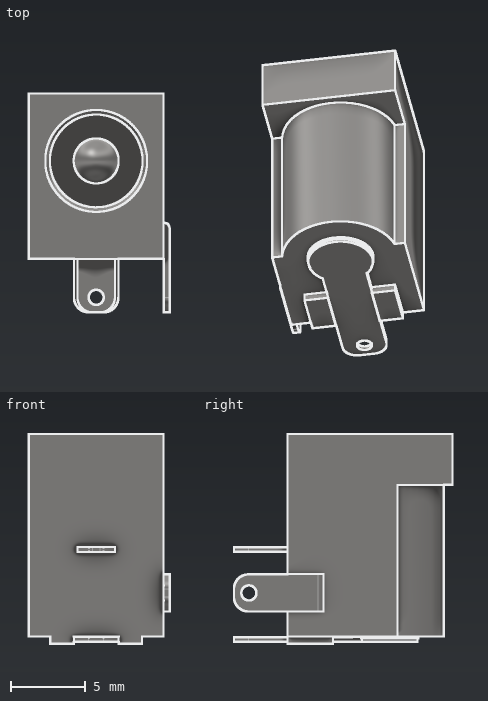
import cadquery as cq

overall_width = 9.4
overall_height = 14.0

body_width = 9.0
body_height = 13.5
half_width = body_width / 2
back_y = half_width
front_y = -6.53
collar_height = 3.39
barrel_radius = 3.9
shoulder_y = 0.82

socket_radius = 3.1
socket_depth = 9.0
socket_chamfer = 0.3
pin_radius = 1.5
pin_tip_depth = 1.95

tab_end_y = -10.1
tab_width = 2.5
tab_thickness = 0.3
tab_corner_radius = 1.0
tab_hole_diameter = 1.0
tab_hole_y = tab_end_y + 1.01
upper_tab_z = 5.65
side_tab_z = 2.9
side_tab_thickness = overall_width - body_width
side_tab_back_y = -4.12
side_tab_bend_radius = 0.38
bottom_tab_width = 2.98
bottom_tab_gap = 0.05

disc_radius = 2.16
disc_rim_radius = 2.2
disc_rim_height = 0.13
foot_height = overall_height - body_height
foot_width = 1.58
foot_length = 3.05


def box(x_min, x_max, y_min, y_max, z_min, z_max):
    """Axis-aligned box between two opposite corners."""
    size = (x_max - x_min, y_max - y_min, z_max - z_min)
    return cq.Workplane("XY").box(*size, centered=False).translate((x_min, y_min, z_min))


def cylinder(radius, z_min, z_max, y_center=0):
    """Upright cylinder on the symmetry plane."""
    return cq.Workplane("XY", origin=(0, y_center, z_min)).circle(radius).extrude(z_max - z_min)


def make_tab(width, thickness, back_y_of_tab):
    """Flat tab lying on Z = 0, with a rounded front end and a wire hole."""
    tab = box(-width / 2, width / 2, tab_end_y, back_y_of_tab, 0, thickness)
    tab = tab.edges("|Z and <Y").fillet(tab_corner_radius)
    hole = cylinder(tab_hole_diameter / 2, 0, thickness, tab_hole_y)
    return tab.cut(hole)


def make_housing():
    """Square front and collar, with a round barrel below the collar at the back."""
    front = box(-half_width, half_width, front_y, shoulder_y, 0, body_height)
    collar = box(-half_width, half_width, front_y, back_y, body_height - collar_height, body_height)
    barrel = cylinder(barrel_radius, 0, body_height)
    housing = front.union(collar).union(barrel)
    socket = cylinder(socket_radius, body_height - socket_depth, body_height)
    housing = housing.cut(socket)
    return housing.faces(">Z").edges("%CIRCLE").chamfer(socket_chamfer)


def make_pin():
    """Contact pin rising from the socket floor to a hemispherical tip."""
    tip_center_z = body_height - pin_tip_depth - pin_radius
    shaft = cylinder(pin_radius, body_height - socket_depth, tip_center_z)
    tip = cq.Workplane("XY").sphere(pin_radius).translate((0, 0, tip_center_z))
    return shaft.union(tip)


def make_side_tab():
    """Upright tab on the +X wall, its back end bent round into the wall."""
    tab = make_tab(tab_width, side_tab_thickness, side_tab_back_y)
    tab = tab.rotate((0, 0, 0), (0, 1, 0), 90)
    tab = tab.translate((half_width, 0, side_tab_z))
    return tab.edges(">X and >Y").fillet(side_tab_bend_radius)


result = make_housing().union(make_pin())

upper_tab = make_tab(tab_width, tab_thickness, front_y)
result = result.union(upper_tab.translate((0, 0, upper_tab_z)))
result = result.union(make_side_tab())

bottom_tab_z = -bottom_tab_gap - tab_thickness
bottom_tab = make_tab(bottom_tab_width, tab_thickness, 0)
result = result.union(bottom_tab.translate((0, 0, bottom_tab_z)))
result = result.union(cylinder(disc_radius, bottom_tab_z, 0))
result = result.union(cylinder(disc_rim_radius, -disc_rim_height, 0))

foot_inner_x = bottom_tab_width / 2
foot_outer_x = foot_inner_x + foot_width
for x_min, x_max in ((-foot_outer_x, -foot_inner_x), (foot_inner_x, foot_outer_x)):
    result = result.union(box(x_min, x_max, front_y, front_y + foot_length, -foot_height, 0))